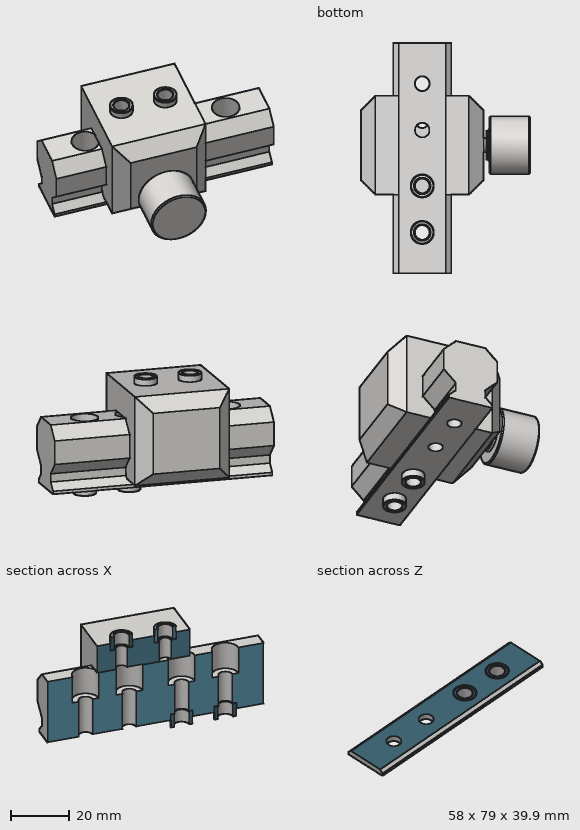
import cadquery as cq


rail_length = 79.0
head_width = 20.0
head_chamfer = 4.5
head_side_height = 8.4
rail_height = 24.0
foot_width = 16.2
foot_edge_height = 1.1

rail_top = head_width / 2
rail_bottom = rail_top - rail_height
head_half = head_width / 2
neck_half = head_half - head_chamfer
foot_half = foot_width / 2
shoulder_top = rail_top - head_chamfer
shoulder_bottom = shoulder_top - head_side_height
neck_top = shoulder_bottom - head_chamfer
foot_edge_top = rail_bottom + foot_edge_height
neck_bottom = foot_edge_top + (foot_half - neck_half)

screw_hole_diameter = 5.0
counterbore_diameter = 9.5
counterbore_depth = 10.0
inner_hole_offset = 9.55
outer_hole_offset = 25.5
rail_hole_positions = [-outer_hole_offset, -inner_hole_offset, inner_hole_offset, outer_hole_offset]

carriage_width = 42.0
carriage_length = 34.0
carriage_roof = 10.5
carriage_height = 31.6
carriage_bevel = 5.0
carriage_y = -4.4
lip_chamfer = 1.5
threaded_hole_diameter = 4.1

carriage_half = carriage_width / 2
carriage_top = rail_top + carriage_roof
carriage_bottom = carriage_top - carriage_height

knob_diameter = 20.0
knob_length = 13.9
knob_chamfer = 0.5
stem_diameter = 5.0
stem_length = 0.9
collar_diameter = 10.0
collar_length = 1.2
collar_flare = 0.6

sleeve_diameter = 8.0
sleeve_bore = 5.3
sleeve_length = 5.2
sleeve_chamfer = 0.2
top_sleeve_height = 2.45
bottom_sleeve_height = 2.9
sleeve_spacing = 15.95

top_recess_depth = sleeve_length - top_sleeve_height
bottom_recess_depth = sleeve_length - bottom_sleeve_height
top_sleeve_positions = [carriage_y - sleeve_spacing / 2, carriage_y + sleeve_spacing / 2]
bottom_sleeve_positions = [inner_hole_offset, outer_hole_offset]


def vertical_cylinder(diameter, y, bottom, top):
    """A cylinder along Z on the rail's centre plane."""
    return cq.Workplane("XY", origin=(0, y, bottom)).circle(diameter / 2).extrude(top - bottom)


def extrude_mirrored(right_half, y_centre, length):
    """Extrude along Y a profile given by its +X half, listed from top to bottom."""
    left_half = [(-x, z) for x, z in reversed(right_half)]
    return (
        cq.Workplane("XZ", origin=(0, y_centre + length / 2, 0))
        .polyline(right_half + left_half)
        .close()
        .extrude(length)
    )


head_outline = [
    (neck_half, rail_top),
    (head_half, shoulder_top),
    (head_half, shoulder_bottom),
    (neck_half, neck_top),
]


def make_rail():
    foot_outline = [(neck_half, neck_bottom), (foot_half, foot_edge_top), (foot_half, rail_bottom)]
    rail = extrude_mirrored(head_outline + foot_outline, 0, rail_length)
    for y in rail_hole_positions:
        rail = rail.cut(vertical_cylinder(screw_hole_diameter, y, rail_bottom, rail_top))
        rail = rail.cut(vertical_cylinder(counterbore_diameter, y, rail_top - counterbore_depth, rail_top))
    for y in bottom_sleeve_positions:
        rail = rail.cut(vertical_cylinder(sleeve_diameter, y, rail_bottom, rail_bottom + bottom_recess_depth))
    return rail


def make_knob():
    """Knob with its collar and stem, starting on the carriage's +X face."""
    collar_start = carriage_half + stem_length
    knob_start = collar_start + collar_length
    knob_end = knob_start + knob_length
    stem_radius = stem_diameter / 2
    collar_radius = collar_diameter / 2
    knob_radius = knob_diameter / 2
    half_section = [
        (carriage_half, 0),
        (carriage_half, stem_radius),
        (collar_start, stem_radius),
        (collar_start, collar_radius),
        (knob_start - collar_flare, collar_radius),
        (knob_start, collar_radius + collar_flare),
        (knob_start, knob_radius - knob_chamfer),
        (knob_start + knob_chamfer, knob_radius),
        (knob_end - knob_chamfer, knob_radius),
        (knob_end, knob_radius - knob_chamfer),
        (knob_end, 0),
    ]
    return (
        cq.Workplane("XY", origin=(0, carriage_y, 0))
        .polyline(half_section)
        .close()
        .revolve(360, (0, 0, 0), (1, 0, 0))
    )


def make_carriage():
    """Carriage block in one piece with its clamp knob."""
    block = (
        cq.Workplane("XY", origin=(0, carriage_y, carriage_bottom))
        .box(carriage_width, carriage_length, carriage_height, centered=(True, True, False))
        .faces("<X or >X")
        .chamfer(carriage_bevel)
    )
    lip_outline = [
        (neck_half, carriage_bottom + lip_chamfer),
        (neck_half + lip_chamfer, carriage_bottom),
    ]
    carriage = block.cut(extrude_mirrored(head_outline + lip_outline, carriage_y, carriage_length))
    for y in top_sleeve_positions:
        carriage = carriage.cut(vertical_cylinder(threaded_hole_diameter, y, rail_top, carriage_top))
        carriage = carriage.cut(
            vertical_cylinder(sleeve_diameter, y, carriage_top - top_recess_depth, carriage_top)
        )
    return carriage.union(make_knob())


def make_sleeve(y, bottom):
    """A tube along Z with all four rims chamfered."""
    top = bottom + sleeve_length
    tube = vertical_cylinder(sleeve_diameter, y, bottom, top)
    tube = tube.cut(vertical_cylinder(sleeve_bore, y, bottom, top))
    return tube.faces("<Z or >Z").chamfer(sleeve_chamfer)


rail = make_rail()
carriage = make_carriage()
top_sleeves = [make_sleeve(y, carriage_top - top_recess_depth) for y in top_sleeve_positions]
bottom_sleeves = [make_sleeve(y, rail_bottom - bottom_sleeve_height) for y in bottom_sleeve_positions]

sleeve_solids = [sleeve.val() for sleeve in top_sleeves + bottom_sleeves]
result = cq.Compound.makeCompound([rail.val(), carriage.val(), *sleeve_solids])